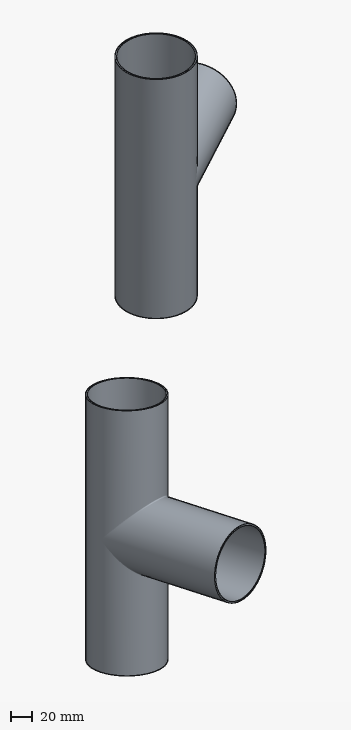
import cadquery as cq

outer_diameter = 76.2
inner_diameter = 72.9
center_to_end = 134.0
crease_fillet_radius = 1.0


def run_cylinder(diameter):
    """Solid cylinder of the straight run, centered on the origin along Z."""
    return cq.Workplane("XY").circle(diameter / 2).extrude(center_to_end, both=True)


def branch_cylinder(diameter):
    """Solid cylinder from the run axis out to the branch end at +Y."""
    return cq.Workplane("XZ").circle(diameter / 2).extrude(-center_to_end)


def sharp_tee(diameter):
    """Run and branch of one diameter joined into a solid tee with sharp creases."""
    return run_cylinder(diameter).union(branch_cylinder(diameter))


def filleted_tee(diameter):
    """Solid tee with its two elliptical creases rounded.

    The creases meet at a point on each side, so each is rounded on its own half of the tee.
    """
    upper_space = cq.Workplane("XY").box(
        2 * center_to_end, 2 * center_to_end, center_to_end, centered=(True, True, False)
    )
    sharp_half = sharp_tee(diameter).intersect(upper_space)
    upper_half = sharp_half.edges("%ELLIPSE").fillet(crease_fillet_radius)
    return upper_half.union(upper_half.mirror("XY"))


pipe_tee = filleted_tee(outer_diameter).cut(sharp_tee(inner_diameter))
result = pipe_tee.solids()